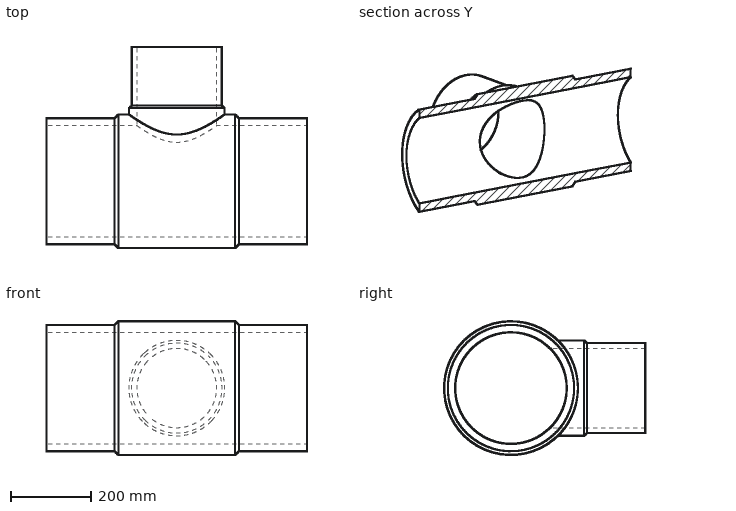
import cadquery as cq

run_length = 650.0
run_diameter = 315.0
run_wall = 18.7
run_bore = run_diameter - 2 * run_wall

body_length = 310.0
body_thickening = run_wall / 2
body_diameter = run_diameter + 2 * body_thickening

branch_reach = 335.0
branch_diameter = 225.0
branch_wall = 13.4
branch_bore = branch_diameter - 2 * branch_wall

collar_reach = 189.0
collar_thickening = branch_wall / 2
collar_diameter = branch_diameter + 2 * collar_thickening


def run_cylinder(diameter, length):
    """Cylinder along X, centred on the origin."""
    return cq.Workplane("YZ").circle(diameter / 2).extrude(length / 2, both=True)


def branch_cylinder(diameter, reach):
    """Cylinder from the run axis out along +Y."""
    return cq.Workplane("XZ").circle(diameter / 2).extrude(-reach)


def make_run():
    """Straight pipe with the thickened body, whose 45 degree chamfers run down to the pipe."""
    body = run_cylinder(body_diameter, body_length)
    body = body.faces("<X or >X").chamfer(body_thickening)
    return run_cylinder(run_diameter, run_length).union(body)


def make_branch():
    """Branch pipe with its collar, whose 45 degree chamfer runs down to the pipe."""
    collar = branch_cylinder(collar_diameter, collar_reach)
    collar = collar.faces(">Y").chamfer(collar_thickening)
    return branch_cylinder(branch_diameter, branch_reach).union(collar)


outside = make_run().union(make_branch())
bores = run_cylinder(run_bore, run_length).union(branch_cylinder(branch_bore, branch_reach))
result = outside.cut(bores)